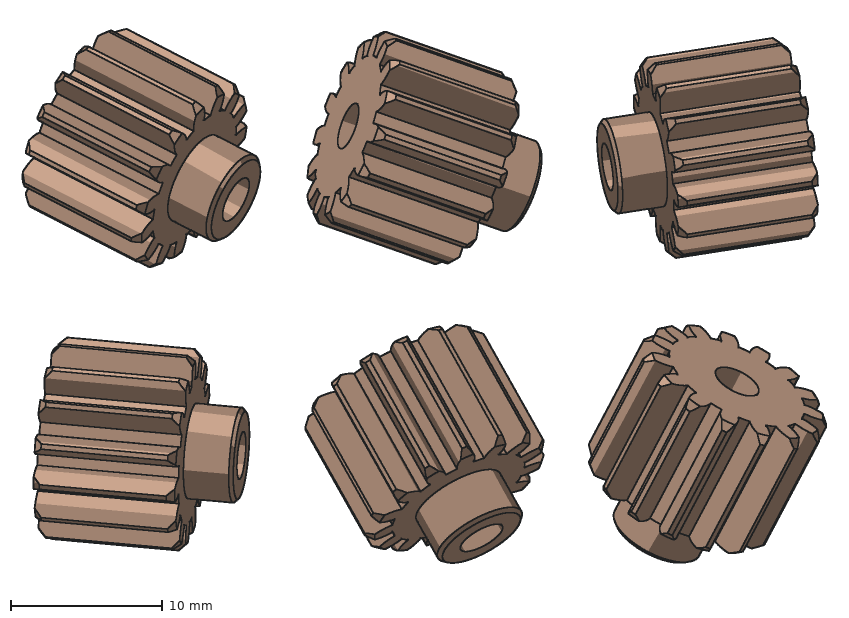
import cadquery as cq
import math

tooth_count = 15
gear_height = 13.45
gear_width = 9.52
tip_chamfer = 0.5
root_radius = 4.95
bore_radius = 1.59

hub_radius = 3.17
hub_length = 3.31
hub_chamfer = 0.25

tip_half = 0.17
middle_half = 0.63
root_half = 0.62
middle_distance = 5.65

pitch_angle = 2 * math.pi / tooth_count
top_lean = pitch_angle / 4
tip_distance = (gear_height / 2 - tip_half * math.sin(top_lean)) / math.cos(top_lean)
tip_radius = math.hypot(tip_distance, tip_half)
root_distance = math.sqrt(root_radius**2 - root_half**2)
first_tooth_angle = math.pi


def turned(along, across, angle):
    """Point given along and across a tooth whose centre line lies at the angle."""
    return (
        along * math.cos(angle) - across * math.sin(angle),
        along * math.sin(angle) + across * math.cos(angle),
    )


def gear_outline():
    """Closed outline: curved flanks, tip arcs and root arcs, tooth after tooth."""
    outline = cq.Workplane("YZ").moveTo(*turned(root_distance, -root_half, first_tooth_angle))
    for tooth in range(tooth_count):
        angle = first_tooth_angle + tooth * pitch_angle

        first_flank_middle = turned(middle_distance, -middle_half, angle)
        first_flank_tip = turned(tip_distance, -tip_half, angle)
        tip_middle = turned(tip_radius, 0, angle)
        second_flank_tip = turned(tip_distance, tip_half, angle)
        second_flank_middle = turned(middle_distance, middle_half, angle)
        second_flank_root = turned(root_distance, root_half, angle)
        gap_middle = turned(root_radius, 0, angle + pitch_angle / 2)
        next_tooth_root = turned(root_distance, -root_half, angle + pitch_angle)

        outline = (
            outline
            .threePointArc(first_flank_middle, first_flank_tip)
            .threePointArc(tip_middle, second_flank_tip)
            .threePointArc(second_flank_middle, second_flank_root)
            .threePointArc(gap_middle, next_tooth_root)
        )
    return outline.close()


def chamfered_blank():
    """Disc that bevels both ends of every tooth tip."""
    return cq.Workplane("YZ").circle(tip_radius).extrude(gear_width).edges().chamfer(tip_chamfer)


def hub():
    """Plain boss on the +X face, bevelled at its free end."""
    boss = cq.Workplane("YZ").workplane(offset=gear_width).circle(hub_radius).extrude(hub_length)
    return boss.faces(">X").edges().chamfer(hub_chamfer)


def bore():
    """Round hole through the gear and the hub."""
    return cq.Workplane("YZ").circle(bore_radius).extrude(gear_width + hub_length)


gear = gear_outline().extrude(gear_width).intersect(chamfered_blank())
result = gear.union(hub()).cut(bore())